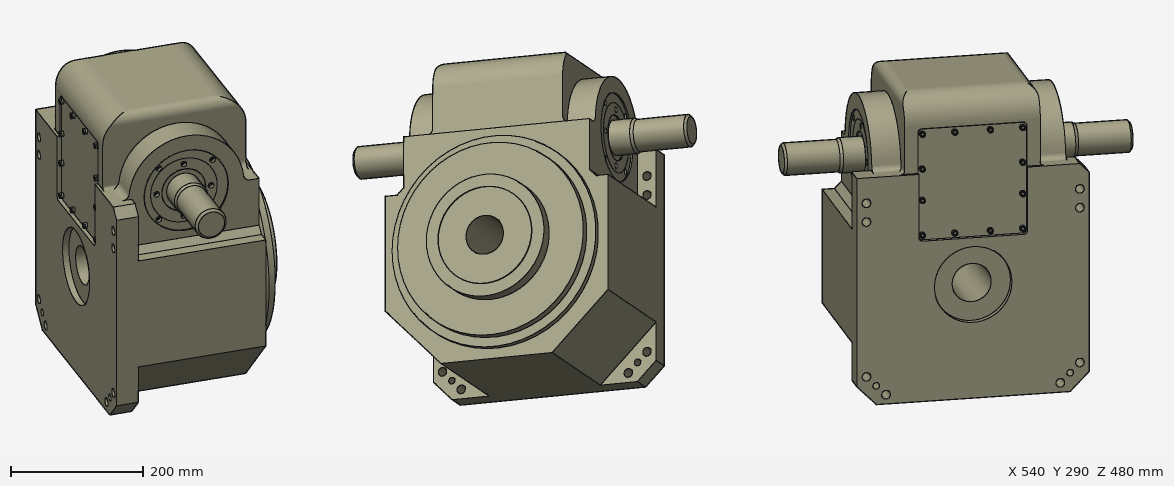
import cadquery as cq
import math


plate_size = 360.0
half_plate = plate_size / 2
plate_thickness = 35.0
body_depth = 240.0
front_y = -body_depth / 2
back_y = body_depth / 2
plate_back_y = front_y + plate_thickness
plate_bottom_chamfer = 30.0
plate_top_chamfer = 15.0
body_bottom_chamfer = 90.0
shoulder_drop = 90.0
shoulder_slope = 11.0
top_z = half_plate

hood_width = 210.0
hood_depth = 230.0
hood_height = 120.0
hood_long_radius = 45.0
hood_side_radius = 15.5
hood_front_fillet = 5.0

boss_radius = 92.5
boss_half_span = 150.0
boss_offset_y = 2.95
foot_fillet = 10.0

bolt_hole_diameter = 13.5
dowel_hole_diameter = 10.0
edge_hole_x = 165.0
upper_hole_heights = (140.0, 110.0)
dowel_position = 150.0
corner_hole_spacing = edge_hole_x - dowel_position

cover_width = 168.5
cover_height = 176.0
cover_center_z = 162.0
cover_corner_radius = 6.5
cover_thickness = 10.0
cover_recess = 7.0
cover_front_y = front_y + cover_recess
screw_head_diameter = 8.5
screw_head_height = 5.5
socket_diameter = 5.5
socket_depth = 2.5
screw_outer_x = 78.0
screw_inner_x = 27.5
screw_outer_z = 80.0
screw_inner_z = 25.0

shaft_length = 540.0
shaft_journal_radius = 35.0
shaft_journal_inset = 5.0
shaft_end_radius = 25.0
shaft_seat_radius = 27.0
shaft_seat_half_span = 180.0
shaft_taper_length = 5.0
shaft_chamfer = 4.0

ring_inset = 2.5
ring_thickness = 17.5
ring_face_x = boss_half_span - ring_inset
outer_ring_radius = 67.5
inner_ring_radius = 53.5
ring_counterbore_diameter = 8.5
ring_counterbore_depth = 6.5
ring_hole_diameter = 5.5
ring_hole_depth = 10.0
ring_hole_count = 4
outer_hole_circle_radius = 61.0
inner_hole_circle_radius = 44.0

flange_radius = 164.5
flange_thickness = 11.0
flange_step_radius = 150.0
flange_step_thickness = 15.0
hub_radius = 60.0
hub_bore_radius = 30.0
hub_recess = 10.0
hub_disc_radius = 95.0
hub_disc_thickness = 22.5
hub_lip_radius = 75.5
hub_lip_thickness = 1.5
flange_back_y = back_y + flange_thickness + flange_step_thickness


def plane_facing_back(y):
    """Sketch plane at the given Y: local x is X, local y is Z, extrusion goes toward +Y."""
    return cq.Plane(origin=(0, y, 0), xDir=(1, 0, 0), normal=(0, -1, 0))


def extrude_back(outline, depth):
    """Extrude a sketch made on plane_facing_back toward +Y."""
    return outline.extrude(-depth)


def y_cylinder(radius, start_y, length, x=0.0, z=0.0):
    outline = cq.Workplane(plane_facing_back(start_y)).center(x, z).circle(radius)
    return extrude_back(outline, length)


def x_cylinder(radius, start_x, length, y, z=top_z):
    return cq.Workplane("YZ", origin=(start_x, y, z)).circle(radius).extrude(length)


def make_plate():
    outline = cq.Workplane(plane_facing_back(front_y)).polyline([
        (-half_plate, half_plate),
        (half_plate - plate_top_chamfer, half_plate),
        (half_plate, half_plate - plate_top_chamfer),
        (half_plate, -half_plate + plate_bottom_chamfer),
        (half_plate - plate_bottom_chamfer, -half_plate),
        (-half_plate + plate_bottom_chamfer, -half_plate),
        (-half_plate, -half_plate + plate_bottom_chamfer),
    ]).close()
    return extrude_back(outline, plate_thickness)


def make_body():
    shoulder_z = top_z - shoulder_drop
    right_side = [
        (half_plate - body_bottom_chamfer, -half_plate),
        (half_plate, -half_plate + body_bottom_chamfer),
        (half_plate, shoulder_z),
        (boss_half_span + shoulder_slope, shoulder_z),
        (boss_half_span, shoulder_z + shoulder_slope),
        (boss_half_span, top_z),
    ]
    left_side = [(-x, z) for x, z in reversed(right_side)]
    outline = cq.Workplane(plane_facing_back(plate_back_y)).polyline(right_side + left_side).close()
    return extrude_back(outline, body_depth - plate_thickness)


def make_hood():
    """Block whose four top edges are rounded, with a mitre where the two radii meet."""
    block_height = hood_height + shoulder_drop
    block_base_z = top_z - shoulder_drop

    def block():
        base = cq.Workplane("XY", origin=(0, 0, block_base_z))
        return base.box(hood_width, hood_depth, block_height, centered=(True, True, False))

    rounded_front_back = block().edges(">Z and |X").fillet(hood_long_radius)
    rounded_sides = block().edges(">Z and |Y").fillet(hood_side_radius)
    return rounded_front_back.intersect(rounded_sides)


def hood_fillet_strip(side, start_y, end_y, radius):
    """Concave strip between a hood side wall and the top of the body."""
    wall_x = hood_width / 2
    bend = radius * (1 - math.sqrt(0.5))
    outline = (
        cq.Workplane(plane_facing_back(start_y))
        .moveTo(0, top_z)
        .lineTo(side * (wall_x + radius), top_z)
        .threePointArc((side * (wall_x + bend), top_z + bend), (side * wall_x, top_z + radius))
        .lineTo(0, top_z + radius)
        .close()
    )
    return extrude_back(outline, end_y - start_y)


def make_boss():
    """Half-round bearing boss across the body, blended into the body top by concave feet."""
    fillet_center_y = math.sqrt((boss_radius + foot_fillet) ** 2 - foot_fillet ** 2)
    tangent_ratio = boss_radius / (boss_radius + foot_fillet)
    tangent_y = fillet_center_y * tangent_ratio
    tangent_z = foot_fillet * tangent_ratio
    toward_boss_angle = math.atan2(-foot_fillet, -fillet_center_y)
    downward_angle = -math.pi / 2
    mid_angle = (toward_boss_angle + downward_angle) / 2
    mid_y = fillet_center_y + foot_fillet * math.cos(mid_angle)
    mid_z = foot_fillet + foot_fillet * math.sin(mid_angle)
    return (
        cq.Workplane("YZ", origin=(-boss_half_span, boss_offset_y, top_z))
        .moveTo(-fillet_center_y, 0)
        .lineTo(fillet_center_y, 0)
        .threePointArc((mid_y, mid_z), (tangent_y, tangent_z))
        .threePointArc((0, boss_radius), (-tangent_y, tangent_z))
        .threePointArc((-mid_y, mid_z), (-fillet_center_y, 0))
        .close()
        .extrude(2 * boss_half_span)
    )


def cover_outline_block(start_y, depth):
    base = cq.Workplane(plane_facing_back(start_y)).center(0, cover_center_z)
    outline = base.rect(cover_width, cover_height)
    return extrude_back(outline, depth).edges("|Y").fillet(cover_corner_radius)


def plate_hole(x, z, diameter):
    return y_cylinder(diameter / 2, front_y, plate_thickness, x, z)


def cut_mounting_holes(housing):
    for side in (-1, 1):
        for height in upper_hole_heights:
            housing = housing.cut(plate_hole(side * edge_hole_x, height, bolt_hole_diameter))
        for step, diameter in ((-1, bolt_hole_diameter), (0, dowel_hole_diameter), (1, bolt_hole_diameter)):
            x = dowel_position + step * corner_hole_spacing
            z = -dowel_position + step * corner_hole_spacing
            housing = housing.cut(plate_hole(side * x, z, diameter))
    return housing


def make_housing():
    housing = make_plate().union(make_body()).union(make_hood()).union(make_boss())
    for side in (-1, 1):
        housing = housing.union(hood_fillet_strip(side, 0, hood_depth / 2, foot_fillet))
        housing = housing.union(hood_fillet_strip(side, -hood_depth / 2, 0, hood_front_fillet))
    housing = cut_mounting_holes(housing)

    housing = housing.cut(cover_outline_block(front_y, cover_recess + cover_thickness))
    housing = housing.cut(y_cylinder(hub_radius, front_y, body_depth))
    housing = housing.cut(x_cylinder(shaft_journal_radius, -boss_half_span, 2 * boss_half_span, 0))
    recess_depth = ring_inset + ring_thickness
    for side in (-1, 1):
        recess = x_cylinder(outer_ring_radius, side * boss_half_span, -side * recess_depth, boss_offset_y)
        housing = housing.cut(recess)
    return housing


def make_cover():
    cover = cover_outline_block(cover_front_y, cover_thickness)
    columns = (-screw_outer_x, -screw_inner_x, screw_inner_x, screw_outer_x)
    rows = (-screw_outer_z, -screw_inner_z, screw_inner_z, screw_outer_z)
    for x in columns:
        for z in rows:
            if abs(x) == screw_outer_x or abs(z) == screw_outer_z:
                head = y_cylinder(
                    screw_head_diameter / 2, cover_front_y, -screw_head_height, x, cover_center_z + z
                )
                cover = cover.union(head)
                socket = y_cylinder(
                    socket_diameter / 2,
                    cover_front_y - screw_head_height,
                    socket_depth,
                    x,
                    cover_center_z + z,
                )
                cover = cover.cut(socket)
    return cover


def make_shaft():
    """Shaft with a wide journal that ends just inside the rings and steps down toward both ends."""
    half_length = shaft_length / 2
    journal_end = boss_half_span - shaft_journal_inset
    taper_end = shaft_seat_half_span + shaft_taper_length
    right_side = [
        (journal_end, shaft_journal_radius),
        (journal_end, shaft_seat_radius),
        (shaft_seat_half_span, shaft_seat_radius),
        (taper_end, shaft_end_radius),
        (half_length - shaft_chamfer, shaft_end_radius),
        (half_length, shaft_end_radius - shaft_chamfer),
        (half_length, 0),
    ]
    left_side = [(-x, r) for x, r in reversed(right_side)]
    profile = cq.Workplane("XY", origin=(0, 0, top_z)).polyline(left_side + right_side).close()
    return profile.revolve(360, (0, 0, 0), (1, 0, 0))


def make_ring(side, radius, center_y, bore_radius, hole_circle_radius, first_hole_angle):
    """Ring sunk a little into a boss face.

    Its bore is centered on the shaft, and its counterbored screw holes are blind.
    """
    face_x = side * ring_face_x
    ring = x_cylinder(radius, face_x, -side * ring_thickness, center_y)
    ring = ring.cut(x_cylinder(bore_radius, face_x, -side * ring_thickness, 0))
    for index in range(ring_hole_count):
        angle = math.radians(first_hole_angle + index * 360 / ring_hole_count)
        hole_y = center_y + hole_circle_radius * math.cos(angle)
        hole_z = top_z + hole_circle_radius * math.sin(angle)
        hole = x_cylinder(ring_hole_diameter / 2, face_x, -side * ring_hole_depth, hole_y, hole_z)
        counterbore = x_cylinder(
            ring_counterbore_diameter / 2, face_x, -side * ring_counterbore_depth, hole_y, hole_z
        )
        ring = ring.cut(hole).cut(counterbore)
    return ring


def make_outer_ring(side):
    """Ring centered on the boss, which sits a little behind the shaft axis."""
    first_hole_angle = 45
    return make_ring(
        side, outer_ring_radius, boss_offset_y, inner_ring_radius, outer_hole_circle_radius, first_hole_angle
    )


def make_inner_ring(side):
    """Ring centered on the shaft axis, inside the outer ring."""
    first_hole_angle = 0
    return make_ring(
        side, inner_ring_radius, 0, shaft_journal_radius, inner_hole_circle_radius, first_hole_angle
    )


def make_flange():
    flange = y_cylinder(flange_radius, back_y, flange_thickness)
    flange = flange.union(y_cylinder(flange_step_radius, back_y + flange_thickness, flange_step_thickness))
    return flange.cut(y_cylinder(hub_radius, back_y, flange_thickness + flange_step_thickness))


def make_hub():
    hub_front_y = front_y + hub_recess
    lip_y = flange_back_y + hub_disc_thickness
    end_y = lip_y + hub_lip_thickness
    hub = y_cylinder(hub_radius, hub_front_y, flange_back_y - hub_front_y)
    hub = hub.union(y_cylinder(hub_disc_radius, flange_back_y, hub_disc_thickness))
    hub = hub.union(y_cylinder(hub_lip_radius, lip_y, hub_lip_thickness))
    return hub.cut(y_cylinder(hub_bore_radius, hub_front_y, end_y - hub_front_y))


housing = make_housing()
cover = make_cover()
shaft = make_shaft()
flange = make_flange()
hub = make_hub()
rings = []
for side in (-1, 1):
    rings.append(make_outer_ring(side).val())
    rings.append(make_inner_ring(side).val())

result = cq.Compound.makeCompound([housing.val(), cover.val(), shaft.val(), flange.val(), hub.val(), *rings])